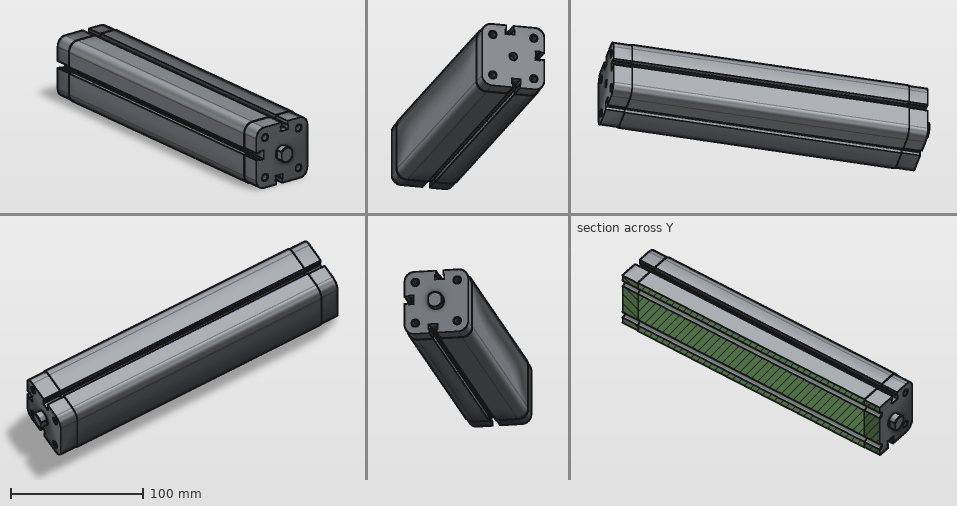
import cadquery as cq


total_length = 250.5
cap_length = 14.5
rod_length = 6.0
barrel_length = total_length - 2 * cap_length - rod_length

rear_face_x = -total_length / 2
barrel_start_x = rear_face_x + cap_length
barrel_end_x = barrel_start_x + barrel_length
front_face_x = barrel_end_x + cap_length

barrel_side = 50.0
barrel_corner_radius = 8.0
cap_inset = 0.5
cap_side = barrel_side - 2 * cap_inset
cap_corner_radius = barrel_corner_radius - cap_inset

slot_offset = 2.5
slot_floor_height = 17.5
slot_ledge_height = 21.3
slot_base_width = 7.0
barrel_mouth_width = 5.3
cap_mouth_width = 5.8
slot_angles = (0, 90, 180)

bolt_pitch = 32.3
bolt_hole_diameter = 5.0
countersink_diameter = 6.0
countersink_depth = (countersink_diameter - bolt_hole_diameter) / 2
centring_hole_diameter = 6.0
centring_hole_depth = 7.5

rod_diameter = 12.0
rod_chamfer = 0.38
rod_flat_width = 10.0
rod_collar_length = 0.8


def plane_at(x):
    """Work plane facing +X at the given x, with local axes along Y and Z."""
    return cq.Workplane("YZ", origin=(x, 0, 0))


def square_bar(start_x, length, side, corner_radius):
    return plane_at(start_x).rect(side, side).extrude(length).edges("|X").fillet(corner_radius)


def slot_cutter(start_x, length, mouth_width):
    """T-shaped bar that cuts the slot of the +Z face, open at that face."""
    top = barrel_side / 2
    base_height = slot_ledge_height - slot_floor_height
    base_middle = slot_floor_height + base_height / 2
    mouth_height = top - slot_floor_height
    mouth_middle = slot_floor_height + mouth_height / 2
    base = plane_at(start_x).center(slot_offset, base_middle).rect(slot_base_width, base_height)
    mouth = plane_at(start_x).center(slot_offset, mouth_middle).rect(mouth_width, mouth_height)
    return base.extrude(length).union(mouth.extrude(length))


def cut_slots(body, start_x, length, mouth_width):
    cutter = slot_cutter(start_x, length, mouth_width)
    for angle in slot_angles:
        body = body.cut(cutter.rotate((0, 0, 0), (1, 0, 0), angle))
    return body


def bolt_positions(x):
    return plane_at(x).rect(bolt_pitch, bolt_pitch, forConstruction=True).vertices()


def cut_bolt_holes(body, start_x, length):
    return body.cut(bolt_positions(start_x).circle(bolt_hole_diameter / 2).extrude(length))


def cut_countersinks(body, outer_x, inward):
    """Conical hole mouths on a cap's outer face; inward is +1 or -1 along X."""
    cone = cq.Solid.makeCone(
        countersink_diameter / 2,
        bolt_hole_diameter / 2,
        countersink_depth,
        dir=cq.Vector(inward, 0, 0),
    )
    for position in bolt_positions(outer_x).vals():
        body = body.cut(cq.Workplane(cone.translate(position.Center())))
    return body


def make_barrel():
    body = square_bar(barrel_start_x, barrel_length, barrel_side, barrel_corner_radius)
    body = cut_slots(body, barrel_start_x, barrel_length, barrel_mouth_width)
    return cut_bolt_holes(body, barrel_start_x, barrel_length)


def make_cap(start_x, outer_x, inward):
    body = square_bar(start_x, cap_length, cap_side, cap_corner_radius)
    body = cut_slots(body, start_x, cap_length, cap_mouth_width)
    body = cut_bolt_holes(body, start_x, cap_length)
    return cut_countersinks(body, outer_x, inward)


def make_rear_cap():
    """Cap with a blind centring hole in its outer face."""
    body = make_cap(rear_face_x, rear_face_x, 1)
    return body.cut(plane_at(rear_face_x).circle(centring_hole_diameter / 2).extrude(centring_hole_depth))


def make_front_cap():
    return make_cap(barrel_end_x, front_face_x, -1)


def make_piston_rod():
    """Chamfered rod end standing on the front cap, with flats facing -Y and +Y."""
    rod = plane_at(front_face_x).circle(rod_diameter / 2).extrude(rod_length)
    rod = rod.faces(">X").chamfer(rod_chamfer)
    collar = plane_at(front_face_x).circle(rod_diameter / 2).extrude(rod_collar_length)
    flats = plane_at(front_face_x).rect(rod_flat_width, rod_diameter).extrude(rod_length)
    return rod.intersect(collar.union(flats))


barrel = make_barrel()
rear_cap = make_rear_cap()
front_cap = make_front_cap()
piston_rod = make_piston_rod()

result = cq.Compound.makeCompound([
    barrel.val(),
    rear_cap.val(),
    front_cap.val(),
    piston_rod.val(),
])